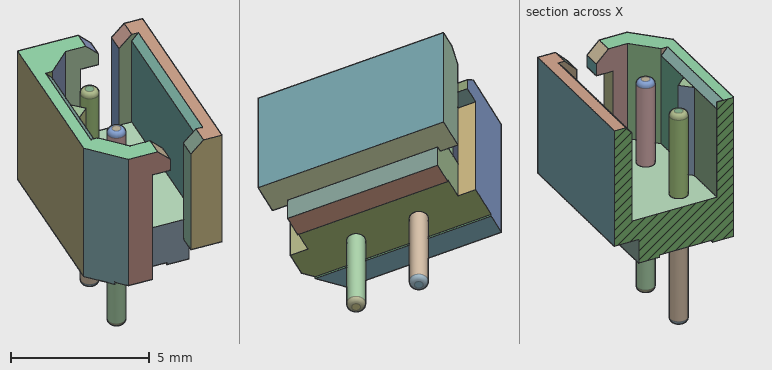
import cadquery as cq

width = 7.4
depth = 4.9
top = 9.4
seat = 3.61
standoff_height = 0.09
center_x = width / 2

side_wall = 0.705
front_wall = 0.7
back_wall = 0.72
floor_top = 5.39
cavity_corner = 0.89
cavity_back = depth - back_wall

shell_depth = 2.18
hook_tip = 2.88
hook_bottom = 8.4
wing_depth = 1.22
wing_bottom = 4.51
base_back = 3.9
hook_chamfer = 0.5

lead_in_width = 0.26
lead_in_height = 0.3

corner_cut = 1.23
standoff_depth = 0.865

rib_width = 0.81
rib_depth = 0.44
rib_top = top - lead_in_height
pin_diameter = 0.7
pin_pitch = 2.5
pin_y = 1.8
pin_top = 8.88
pin_round = 0.19


def box(x0, x1, y0, y1, z0, z1):
    """Box between opposite corner coordinates."""
    return cq.Workplane("XY").box(x1 - x0, y1 - y0, z1 - z0, centered=False).translate((x0, y0, z0))


def along_x(points, x0, x1):
    """Prism with a (Y, Z) outline, running from x0 to x1."""
    return cq.Workplane("YZ", origin=(x0, 0, 0)).polyline(points).close().extrude(x1 - x0)


def along_z(points, z0, z1):
    """Prism with an (X, Y) outline, running from z0 to z1."""
    return cq.Workplane("XY", origin=(0, 0, z0)).polyline(points).close().extrude(z1 - z0)


def corner_wedge(z0, z1):
    """Wedge removed from the front right corner of the housing."""
    outline = [(width - corner_cut, 0), (width, 0), (width, corner_cut)]
    return along_z(outline, z0, z1)


def front_shell():
    """Front wall and side walls with hooked upper ends."""
    profile = [
        (0, seat),
        (shell_depth, seat),
        (shell_depth, hook_bottom),
        (hook_tip, hook_bottom),
        (hook_tip, top - hook_chamfer),
        (hook_tip - hook_chamfer, top),
        (0, top),
    ]
    shell = along_x(profile, 0, width)
    return shell.cut(corner_wedge(seat, top))


def back_shell():
    """Back wall with side wings, chamfered along the inner top edge."""
    wing_front = depth - wing_depth
    profile = [
        (wing_front, wing_bottom),
        (depth, wing_bottom),
        (depth, top),
        (wing_front + hook_chamfer, top),
        (wing_front, top - hook_chamfer),
    ]
    return along_x(profile, 0, width)


def cavity():
    """Mating cavity, with cut-off front corners."""
    right = width - side_wall
    outline = [
        (side_wall, cavity_back),
        (side_wall, front_wall + cavity_corner),
        (side_wall + cavity_corner, front_wall),
        (right - cavity_corner, front_wall),
        (right, front_wall + cavity_corner),
        (right, cavity_back),
    ]
    return along_z(outline, floor_top, top)


def lead_in(wall_y, outward, x_inset):
    """Wedge that chamfers the cavity mouth; outward is the Y direction into the wall."""
    profile = [
        (wall_y, top - lead_in_height),
        (wall_y + outward * lead_in_width, top),
        (wall_y, top),
    ]
    return along_x(profile, x_inset, width - x_inset)


def standoffs():
    """Front and back strips under the housing."""
    bottom = seat - standoff_height
    standoff_end = width - corner_cut + standoff_depth
    front = box(0, standoff_end, 0, standoff_depth, bottom, seat).cut(corner_wedge(bottom, seat))
    back = box(side_wall, width - side_wall, base_back - standoff_depth, base_back, bottom, seat)
    return front.union(back)


def rib():
    """Triangular polarising rib on the inside of the front wall."""
    outline = [
        (center_x - rib_width / 2, front_wall),
        (center_x + rib_width / 2, front_wall),
        (center_x, front_wall + rib_depth),
    ]
    return along_z(outline, floor_top, rib_top)


def pin(x):
    """Round pin with rounded ends."""
    blank = cq.Workplane("XY").center(x, pin_y).circle(pin_diameter / 2).extrude(pin_top)
    return blank.faces("<Z or >Z").edges().fillet(pin_round)


base = box(side_wall, width - side_wall, 0, base_back, seat, floor_top)
base = base.cut(corner_wedge(seat, floor_top))
back_step = box(side_wall, width - side_wall, base_back, cavity_back, wing_bottom, floor_top)

result = front_shell().union(back_shell()).cut(cavity())
result = result.cut(lead_in(front_wall, -1, side_wall + cavity_corner))
result = result.cut(lead_in(cavity_back, 1, side_wall))
result = result.union(base).union(back_step).union(standoffs()).union(rib())
for side in (-1, 1):
    result = result.union(pin(center_x + side * pin_pitch / 2))